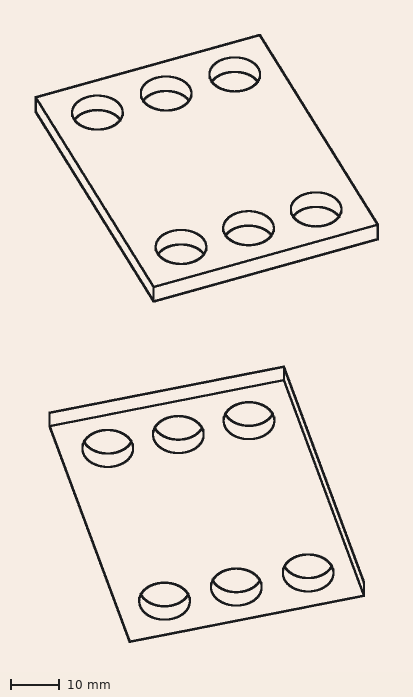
import cadquery as cq

length = 63.0
width = 49.75
thickness = 4.0

hole_diameter = 10.4
holes_per_column = 3
column_offset = 22.3
first_row_y = -15.0
left_pitch = 15.25
right_pitch = 15.0


def hole_column(x, pitch):
    """Centres of one column of holes, starting at the first row."""
    return [(x, first_row_y + i * pitch) for i in range(holes_per_column)]


hole_centres = hole_column(-column_offset, left_pitch) + hole_column(column_offset, right_pitch)

plate = cq.Workplane("XY").box(length, width, thickness)
result = plate.faces(">Z").workplane().pushPoints(hole_centres).hole(hole_diameter)